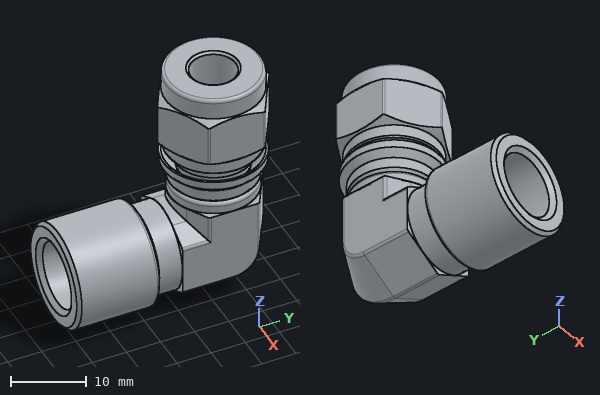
import cadquery as cq
import math


overall_height = 34.65

body_flats = 12.7
body_edge_radius = 0.5
body_reach = 7.6
shank_radius = 12.6 / 2

runout_start = 10.95
barrel_start = 11.35
barrel_radius = 15.0 / 2
barrel_chamfer = 0.52
leg_length = 23.4
socket_mouth_radius = 10.8 / 2
socket_entry_radius = 9.4 / 2
socket_mouth_depth = 0.7
drill_radius = 8.8 / 2
socket_taper = 1 / 16

round_edge = 0.5
groove_z = 9.3
flange_radius = 14.6 / 2
flange_cone_z = 11.43
flange_top_z = 13.6
recess_floor_z = 10.22
recess_floor_radius = 4.85
flange_lip = 0.35
stem_radius = 9.4 / 2
thread_radius = 10.1 / 2
thread_bottom_z = 11.43
neck_radius = 11.12 / 2
neck_bottom_z = 13.02

nut_flats = 14.27
nut_edge_radius = 0.3
nut_bevel_angle = 30.0
collar_radius = 13.6 / 2
collar_chamfer = 0.2
collar_bottom_z = 14.6
hex_bottom_z = 16.55
hex_top_z = 24.07
cap_radius = 13.9 / 2
fitting_top_z = overall_height - barrel_radius

tube_radius = 6.55 / 2
tube_mouth_chamfer = 0.35
tube_stop_z = 15.25
flow_radius = 4.8 / 2


def hexagon_prism(flats, height, edge_radius):
    """Upright hexagonal prism on the XY plane with flats facing +X and -X."""
    across_corners = flats / math.cos(math.radians(30))
    prism = cq.Workplane("XY").polygon(6, across_corners).extrude(height)
    return prism.rotate((0, 0, 0), (0, 0, 1), 30).edges("|Z").fillet(edge_radius)


def turned(sketch):
    """Close a profile and turn it about its own vertical axis."""
    return sketch.close().revolve(360, (0, 0), (0, 1))


def leg_bar():
    """Upright bar: hexagonal toward +Y, with its -Y corner rounded into a full cylinder."""
    prism = hexagon_prism(body_flats, body_reach, body_edge_radius)
    half_flats = body_flats / 2
    touch_y = -half_flats * math.cos(math.radians(30))
    front_block = (
        cq.Workplane("XY")
        .box(2 * body_flats, 2 * body_flats, body_reach, centered=(True, False, False))
        .translate((0, touch_y, 0))
    )
    back_cylinder = cq.Workplane("XY").circle(half_flats).extrude(body_reach)
    return prism.intersect(front_block.union(back_cylinder))


def elbow_bend():
    """Outer half of the hexagonal bar turned a quarter turn about the X axis."""
    prism = hexagon_prism(body_flats, body_reach, body_edge_radius)
    half_block = cq.Workplane("XY").box(
        2 * body_flats, 2 * body_flats, body_reach, centered=(True, False, False)
    )
    section = prism.intersect(half_block).faces("<Z").wires().val()
    origin = cq.Vector(0, 0, 0)
    return cq.Workplane(cq.Solid.revolve(section, [], 90, origin, cq.Vector(-1, 0, 0)))


def elbow_body():
    """Two hexagonal legs joined by the rounded outer bend."""
    upright = leg_bar()
    level = upright.mirror("XY").rotate((0, 0, 0), (1, 0, 0), -90)
    return upright.union(level).union(elbow_bend())


def shank_and_flange():
    """Shank with a V groove and a dished flange on top of the tube leg."""
    cone_rise = flange_radius - shank_radius
    lower_round = groove_z - round_edge
    groove_radius = shank_radius - round_edge
    arc_offset = round_edge * math.sqrt(0.5)
    sketch = (
        cq.Workplane("XZ")
        .lineTo(shank_radius, 0)
        .lineTo(shank_radius, lower_round)
        .threePointArc((groove_radius + arc_offset, lower_round + arc_offset), (groove_radius, groove_z))
        .lineTo(shank_radius, groove_z + round_edge)
        .lineTo(shank_radius, flange_cone_z)
        .lineTo(flange_radius, flange_cone_z + cone_rise)
        .lineTo(flange_radius, flange_top_z)
        .lineTo(flange_radius - flange_lip, flange_top_z)
        .lineTo(recess_floor_radius, recess_floor_z)
        .lineTo(0, recess_floor_z)
    )
    return turned(sketch)


def stem():
    """Stepped stem that stands in the flange recess and carries the nut."""
    sketch = (
        cq.Workplane("XZ")
        .lineTo(stem_radius, 0)
        .lineTo(stem_radius, thread_bottom_z)
        .lineTo(thread_radius, thread_bottom_z)
        .lineTo(thread_radius, neck_bottom_z)
        .lineTo(neck_radius, neck_bottom_z)
        .lineTo(neck_radius, hex_bottom_z)
        .lineTo(0, hex_bottom_z)
    )
    return turned(sketch)


def union_nut():
    """Bevelled hexagon between a lower collar and a rounded cap."""
    collar = (
        cq.Workplane("XY", origin=(0, 0, collar_bottom_z))
        .circle(collar_radius)
        .extrude(hex_bottom_z - collar_bottom_z)
        .faces("<Z")
        .edges()
        .chamfer(collar_chamfer)
    )
    cap = (
        cq.Workplane("XY", origin=(0, 0, hex_top_z))
        .circle(cap_radius)
        .extrude(fitting_top_z - hex_top_z)
        .faces(">Z")
        .edges()
        .fillet(round_edge)
    )
    hexagon = hexagon_prism(nut_flats, hex_top_z - hex_bottom_z, nut_edge_radius)
    hexagon = hexagon.translate((0, 0, hex_bottom_z))
    slope = math.tan(math.radians(nut_bevel_angle))
    bevel_envelope = turned(
        cq.Workplane("XZ")
        .moveTo(0, hex_bottom_z)
        .lineTo(collar_radius, hex_bottom_z)
        .lineTo(nut_flats, hex_bottom_z + slope * (nut_flats - collar_radius))
        .lineTo(nut_flats, hex_top_z - slope * (nut_flats - cap_radius))
        .lineTo(cap_radius, hex_top_z)
        .lineTo(0, hex_top_z)
    )
    return hexagon.intersect(bevel_envelope).union(collar).union(cap)


def thread_leg():
    """Round barrel along -Y, turned about the Y axis."""
    runout_rise = barrel_start - runout_start
    round_center_x = barrel_radius - round_edge
    round_center_y = -barrel_start - round_edge
    arc_offset = round_edge * math.sqrt(0.5)
    sketch = (
        cq.Workplane("XY")
        .lineTo(shank_radius, 0)
        .lineTo(shank_radius, -runout_start)
        .lineTo(shank_radius + runout_rise, -barrel_start)
        .lineTo(round_center_x, -barrel_start)
        .threePointArc(
            (round_center_x + arc_offset, round_center_y + arc_offset), (barrel_radius, round_center_y)
        )
        .lineTo(barrel_radius, -leg_length + barrel_chamfer)
        .lineTo(barrel_radius - barrel_chamfer, -leg_length)
        .lineTo(0, -leg_length)
    )
    return turned(sketch)


def tube_bores():
    """Flow bore, tube socket and mouth chamfer, turned about Z."""
    sketch = (
        cq.Workplane("XZ")
        .lineTo(flow_radius, 0)
        .lineTo(flow_radius, tube_stop_z)
        .lineTo(tube_radius, tube_stop_z)
        .lineTo(tube_radius, fitting_top_z - tube_mouth_chamfer)
        .lineTo(tube_radius + tube_mouth_chamfer, fitting_top_z)
        .lineTo(0, fitting_top_z)
    )
    return turned(sketch)


def thread_bores():
    """Tapered socket ending in a ball-nosed bore that just meets the far side of the flow bore."""
    ball_y = flow_radius - drill_radius
    taper_start = -leg_length + socket_mouth_depth
    taper_length = 2 * (socket_entry_radius - drill_radius) / socket_taper
    nose = drill_radius * math.sqrt(0.5)
    sketch = (
        cq.Workplane("XY")
        .moveTo(0, flow_radius)
        .threePointArc((nose, ball_y + nose), (drill_radius, ball_y))
        .lineTo(drill_radius, taper_start + taper_length)
        .lineTo(socket_entry_radius, taper_start)
        .lineTo(socket_mouth_radius, -leg_length)
        .lineTo(0, -leg_length)
    )
    return turned(sketch)


result = (
    elbow_body()
    .union(shank_and_flange())
    .union(stem())
    .union(union_nut())
    .union(thread_leg())
    .cut(tube_bores())
    .cut(thread_bores())
)